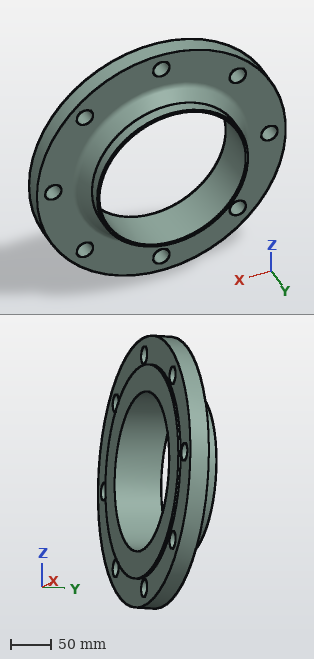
import cadquery as cq

flange_diameter = 340.0
face_diameter = 268.0
face_height = 3.0
plate_thickness = 24.5
total_length = 62.0

bore_diameter = 200.0
neck_diameter = 206.0
neck_straight_length = 16.0
hub_diameter = 234.0
hub_fillet = 8.0

bolt_count = 8
bolt_circle_diameter = 295.0
bolt_hole_diameter = 22.0

plate_back = face_height + plate_thickness
neck_start = total_length - neck_straight_length


def cylinder(diameter, start, end):
    """Solid cylinder around the Y axis between two Y positions."""
    sketch_plane = cq.Workplane("XZ", origin=(0, start, 0))
    return sketch_plane.circle(diameter / 2).extrude(start - end)


def flange_body():
    """Raised face, plate, tapered hub and straight neck, revolved around Y."""
    profile = [
        (0, 0),
        (face_diameter / 2, 0),
        (face_diameter / 2, face_height),
        (flange_diameter / 2, face_height),
        (flange_diameter / 2, plate_back),
        (hub_diameter / 2, plate_back),
        (neck_diameter / 2, neck_start),
        (neck_diameter / 2, total_length),
        (0, total_length),
    ]
    body = cq.Workplane("XY").polyline(profile).close().revolve(360, (0, 0), (0, 1))
    plate_back_face = body.faces(cq.selectors.BoxSelector(
        (-flange_diameter, plate_back - face_height / 2, -flange_diameter),
        (flange_diameter, plate_back + face_height / 2, flange_diameter),
    ))
    hub_root = plate_back_face.edges(cq.selectors.RadiusNthSelector(0))
    return hub_root.fillet(hub_fillet)


def bolt_holes():
    """Through holes evenly spaced on the bolt circle, the first one on +X."""
    return (
        cq.Workplane("XZ")
        .polarArray(bolt_circle_diameter / 2, 0, 360, bolt_count)
        .circle(bolt_hole_diameter / 2)
        .extrude(-plate_back)
    )


bore = cylinder(bore_diameter, 0, total_length)
result = flange_body().cut(bore).cut(bolt_holes())